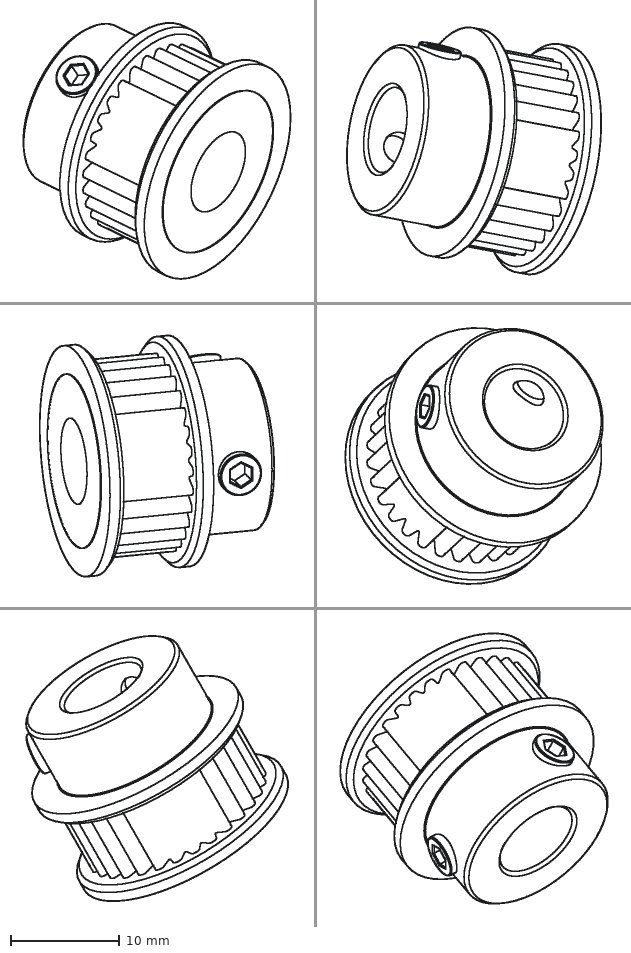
import cadquery as cq
import math


hub_radius = 8.0
hub_length = 6.77
hub_chamfer = 0.32
bore_radius = 4.0
bore_chamfer = 0.32
flange_radius = 10.75
flange_thickness = 1.5
flange_chamfer = 0.5
collar_radius = 8.1
collar_height = 0.09

tooth_count = 30
tooth_span = 7.05
tip_radius = 9.25
tip_fillet = 0.39
root_radius = 7.98
gap_floor_radius = 0.13
gap_flank_angle = math.radians(22.5)
cutter_overshoot = 0.22

screw_placements = [(0.0, 8.65), (120.0, 8.47)]
screw_x = 3.53
screw_radius = 2.0
screw_length = 3.91
screw_edge_chamfer = 0.1
cup_radius = 1.6
cup_depth = 0.43
socket_width = 2.0
socket_depth = 2.0
socket_chamfer = 0.1

first_flange_x = hub_length + collar_height
teeth_x = first_flange_x + flange_thickness
second_flange_x = teeth_x + tooth_span
pulley_length = second_flange_x + flange_thickness + collar_height


def disc(x, radius, length):
    """Cylinder on the pulley axis that starts at x."""
    return cq.Workplane("YZ", origin=(x, 0, 0)).circle(radius).extrude(length)


def screw_plane(distance):
    """Plane square to an untilted screw (along +Y) at a distance from the pulley axis."""
    return cq.Workplane(cq.Plane(origin=(screw_x, distance, 0), xDir=(0, 0, 1), normal=(0, 1, 0)))


def about_axis(shape, angle):
    return shape.rotate((0, 0, 0), (1, 0, 0), angle)


def hexagon_diameter(width):
    """Diameter across the corners of a hexagon of the given width across its flats."""
    return width / math.cos(math.radians(30))


def make_tooth_gap():
    """Cutter for one gap: straight flanks tangent to a round floor."""
    floor_center = root_radius + gap_floor_radius
    tangent_radius = floor_center - gap_floor_radius * math.sin(gap_flank_angle)
    half_floor = gap_floor_radius * math.cos(gap_flank_angle)
    mouth_radius = tip_radius + cutter_overshoot
    half_mouth = half_floor + (mouth_radius - tangent_radius) * math.tan(gap_flank_angle)
    return (
        cq.Workplane("YZ", origin=(teeth_x, 0, 0))
        .moveTo(mouth_radius, -half_mouth)
        .lineTo(tangent_radius, -half_floor)
        .threePointArc((root_radius, 0), (tangent_radius, half_floor))
        .lineTo(mouth_radius, half_mouth)
        .close()
        .extrude(tooth_span)
    )


def make_toothed_rim():
    """Cylinder with equal gaps between teeth, with the tooth tips rounded."""
    rim = disc(teeth_x, tip_radius, tooth_span)
    gap = make_tooth_gap()
    for i in range(tooth_count):
        rim = rim.cut(about_axis(gap, i * 360 / tooth_count))

    middle_radius = (root_radius + tip_radius) / 2
    tip_edges = [
        edge
        for edge in rim.edges("|X").vals()
        if math.hypot(edge.Center().y, edge.Center().z) > middle_radius
    ]
    return rim.newObject(tip_edges).fillet(tip_fillet)


def make_bore():
    """Through bore, widened by a chamfer at the hub end."""
    chamfer_cone = cq.Solid.makeCone(
        bore_radius + bore_chamfer,
        bore_radius,
        bore_chamfer,
        pnt=cq.Vector(0, 0, 0),
        dir=cq.Vector(1, 0, 0),
    )
    return disc(0, bore_radius, pulley_length).union(cq.Workplane(chamfer_cone))


def make_screw_hole(angle, outer_end):
    """Hole that fits the screw and narrows below it, down to the bore."""
    inner_end = outer_end - screw_length
    seat = screw_plane(inner_end).circle(screw_radius).extrude(screw_length)
    passage = screw_plane(0).circle(cup_radius).extrude(inner_end)
    return about_axis(seat.union(passage), angle)


def make_pulley():
    hub = disc(0, hub_radius, hub_length).faces("<X").chamfer(hub_chamfer)
    first_flange = disc(first_flange_x, flange_radius, flange_thickness)
    first_flange = first_flange.faces(">X").chamfer(flange_chamfer)
    second_flange = disc(second_flange_x, flange_radius, flange_thickness)
    second_flange = second_flange.faces("<X").chamfer(flange_chamfer)

    hub_collar = disc(hub_length, collar_radius, collar_height)
    end_collar = disc(pulley_length - collar_height, collar_radius, collar_height)

    body = make_toothed_rim()
    for part in (first_flange, second_flange, hub_collar, end_collar, hub):
        body = body.union(part)
    body = body.cut(make_bore())
    for angle, outer_end in screw_placements:
        body = body.cut(make_screw_hole(angle, outer_end))
    return body


def make_set_screw(angle, outer_end):
    """Headless screw with a hexagon socket outside and a conical cup at its inner end."""
    inner_end = outer_end - screw_length
    body = screw_plane(inner_end).circle(screw_radius).extrude(screw_length)
    body = body.faces(">Y").chamfer(screw_edge_chamfer)

    socket_corners = hexagon_diameter(socket_width)
    mouth_corners = hexagon_diameter(socket_width + 2 * socket_chamfer)
    socket = screw_plane(outer_end - socket_depth).polygon(6, socket_corners).extrude(socket_depth)
    mouth = (
        screw_plane(outer_end - socket_chamfer)
        .polygon(6, socket_corners)
        .workplane(offset=socket_chamfer)
        .polygon(6, mouth_corners)
        .loft()
    )
    cup = cq.Solid.makeCone(
        cup_radius,
        0,
        cup_depth,
        pnt=cq.Vector(screw_x, inner_end, 0),
        dir=cq.Vector(0, 1, 0),
    )
    body = body.cut(socket).cut(mouth).cut(cq.Workplane(cup))
    return about_axis(body, angle)


pulley = make_pulley()
set_screws = [make_set_screw(angle, outer_end) for angle, outer_end in screw_placements]

result = cq.Compound.makeCompound([pulley.val(), *[screw.val() for screw in set_screws]])